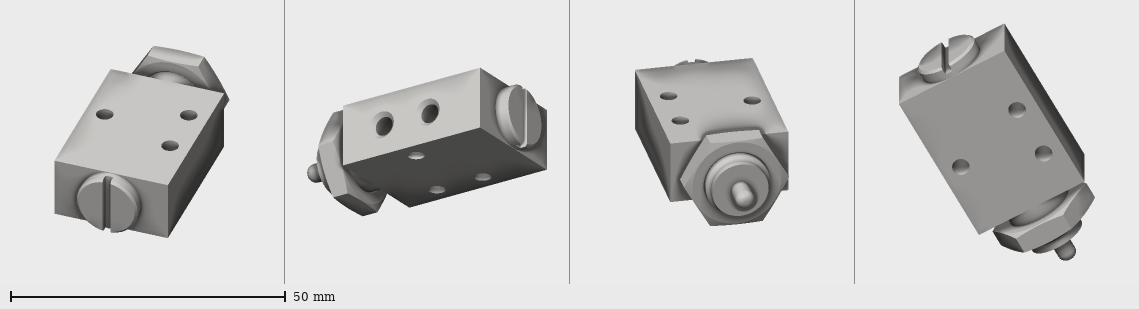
import cadquery as cq
import math

BLOCK_WIDTH = 22.0
BLOCK_LENGTH = 30.0
BLOCK_HEIGHT = 12.0

HOLE_DIAMETER = 3.2
HOLE_OFFSET_X = 7.25
HOLE_ROW_Y = 16.5
HOLE_HALF_PITCH = 5.0
PORT_DIAMETER = 3.65
PORT_MOUTH_DIAMETER = 5.25
PORT_DEPTH = 5.0

HEAD_DIAMETER = 11.8
HEAD_END_DIAMETER = 10.9
HEAD_LENGTH = 2.5
SLOT_WIDTH = 1.5
SLOT_DEPTH = 1.5

BOSS_DIAMETER = 12.0
NECK_DIAMETER = 10.5
PLUNGER_DIAMETER = 3.5
PLUNGER_ROUND = 1.4
SHOULDER_LENGTH = 8.05
NECK_LENGTH = 1.45
REAR_LENGTH = 47 - HEAD_LENGTH - BLOCK_LENGTH
PLUNGER_LENGTH = REAR_LENGTH - SHOULDER_LENGTH - NECK_LENGTH

NUT_ACROSS_FLATS = 17.0
NUT_THICKNESS = 4.0
NUT_GAP = 2.55
NUT_FACE_DIAMETER = 16.55
NUT_CHAMFER_ANGLE = 15
NUT_MOUTH_DIAMETER = 12.5


def cylinder(diameter, start_y, length):
    """Cylinder on the valve axis, running from start_y toward +Y."""
    plane = cq.Workplane("XZ", origin=(0, start_y, 0))
    return plane.circle(diameter / 2).extrude(-length)


def make_head():
    head = cylinder(HEAD_DIAMETER, -HEAD_LENGTH, HEAD_LENGTH)
    head = head.faces("<Y").chamfer((HEAD_DIAMETER - HEAD_END_DIAMETER) / 2)
    slot = cq.Workplane("XY").box(SLOT_WIDTH, SLOT_DEPTH, HEAD_DIAMETER)
    return head.cut(slot.translate((0, SLOT_DEPTH / 2 - HEAD_LENGTH, 0)))


def make_rear_stem():
    boss = cylinder(BOSS_DIAMETER, BLOCK_LENGTH, SHOULDER_LENGTH)
    boss = boss.faces(">Y").chamfer((BOSS_DIAMETER - NECK_DIAMETER) / 2)
    neck_start = BLOCK_LENGTH + SHOULDER_LENGTH
    neck = cylinder(NECK_DIAMETER, neck_start, NECK_LENGTH)
    plunger = cylinder(PLUNGER_DIAMETER, neck_start + NECK_LENGTH, PLUNGER_LENGTH)
    plunger = plunger.faces(">Y").edges().fillet(PLUNGER_ROUND)
    return boss.union(neck).union(plunger)


def make_port(y):
    """Blind bore with a 45 degree countersink, cut from the -X side."""
    radius = PORT_DIAMETER / 2
    mouth_radius = PORT_MOUTH_DIAMETER / 2
    profile = [
        (0, 0),
        (0, mouth_radius),
        (mouth_radius - radius, radius),
        (PORT_DEPTH, radius),
        (PORT_DEPTH, 0),
    ]
    port = cq.Workplane("XY").polyline(profile).close().revolve(360, (0, 0, 0), (1, 0, 0))
    return port.translate((-BLOCK_WIDTH / 2, y, 0))


def make_valve():
    block = cq.Workplane("XY").box(BLOCK_WIDTH, BLOCK_LENGTH, BLOCK_HEIGHT)
    valve = block.translate((0, BLOCK_LENGTH / 2, 0))
    pair_y = (HOLE_ROW_Y - HOLE_HALF_PITCH, HOLE_ROW_Y + HOLE_HALF_PITCH)

    hole_places = [(-HOLE_OFFSET_X, HOLE_ROW_Y)] + [(HOLE_OFFSET_X, y) for y in pair_y]
    holes = cq.Workplane("XY").pushPoints(hole_places).circle(HOLE_DIAMETER / 2)
    valve = valve.cut(holes.extrude(BLOCK_HEIGHT / 2, both=True))
    for y in pair_y:
        valve = valve.cut(make_port(y))
    return valve.union(make_head()).union(make_rear_stem())


def make_nut():
    """Hexagon with two flats facing +Z and -Z, chamfered on both faces."""
    corner_radius = NUT_ACROSS_FLATS / math.sqrt(3)
    face_radius = NUT_FACE_DIAMETER / 2
    corner_drop = (corner_radius - face_radius) * math.tan(math.radians(NUT_CHAMFER_ANGLE))
    bore_radius = BOSS_DIAMETER / 2
    mouth_radius = NUT_MOUTH_DIAMETER / 2
    mouth_depth = mouth_radius - bore_radius

    hexagon = cq.Workplane("XZ").polygon(6, 2 * corner_radius).extrude(-NUT_THICKNESS)
    section = [
        (bore_radius, mouth_depth),
        (mouth_radius, 0),
        (face_radius, 0),
        (corner_radius, corner_drop),
        (corner_radius, NUT_THICKNESS - corner_drop),
        (face_radius, NUT_THICKNESS),
        (mouth_radius, NUT_THICKNESS),
        (bore_radius, NUT_THICKNESS - mouth_depth),
    ]
    turned = cq.Workplane("XY").polyline(section).close().revolve(360, (0, 0, 0), (0, 1, 0))
    return hexagon.intersect(turned).translate((0, BLOCK_LENGTH + NUT_GAP, 0))


valve = make_valve()
nut = make_nut()
result = cq.Compound.makeCompound([valve.val(), nut.val()])